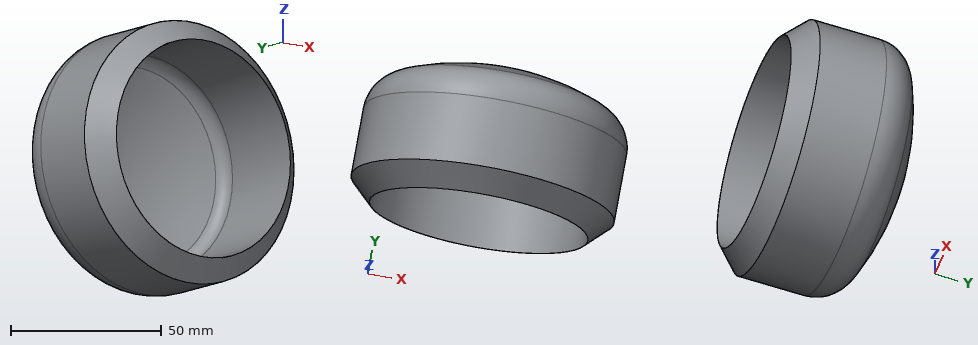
import cadquery as cq
import math

outer_radius = 44.45
height = 50.8
wall = 7.6
straight_end = 30.9
dome_radius = 88.9

dome_center_y = height - dome_radius

center_rise = straight_end - dome_center_y
shoulder_radius = (dome_radius**2 - outer_radius**2 - center_rise**2) / (2 * (dome_radius - outer_radius))
shoulder_center_x = outer_radius - shoulder_radius
dome_angle = math.atan2(center_rise, shoulder_center_x)
shoulder_mid_angle = dome_angle / 2
dome_mid_angle = (dome_angle + math.pi / 2) / 2


def dome_point(offset, angle):
    """Point on the dome arc, moved inward by offset."""
    radius = dome_radius - offset
    return (radius * math.cos(angle), dome_center_y + radius * math.sin(angle))


def shoulder_point(offset, angle):
    """Point on the shoulder arc, moved inward by offset."""
    radius = shoulder_radius - offset
    return (shoulder_center_x + radius * math.cos(angle), straight_end + radius * math.sin(angle))


def domed_solid(offset):
    """Solid cap with its sides and dome moved inward by offset."""
    return (
        cq.Workplane("XY")
        .lineTo(outer_radius - offset, 0)
        .lineTo(outer_radius - offset, straight_end)
        .threePointArc(shoulder_point(offset, shoulder_mid_angle), dome_point(offset, dome_angle))
        .threePointArc(dome_point(offset, dome_mid_angle), (0, height - offset))
        .close()
        .revolve(360, (0, 0, 0), (0, 1, 0))
    )


body = domed_solid(0).faces("<Y").edges().chamfer(wall)
result = body.cut(domed_solid(wall))